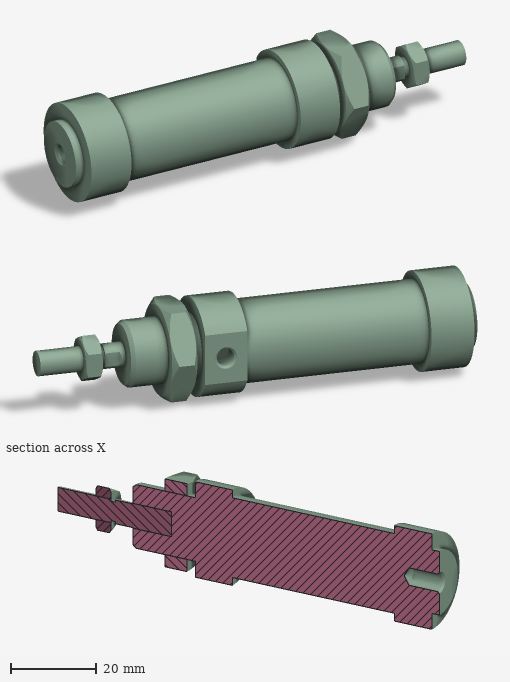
import cadquery as cq
import math

total_length = 106.0

rear_boss_length = 2.0
cap_length = 10.6
collar_start = 57.5
collar_end = 67.8
nose_end = 85.1

cap_dia = 24.0
tube_dia = 20.0
boss_dia = 16.0
nose_tip_dia = 14.5
nose_chamfer_length = 1.0

flat_offset = 10.3

hole_dia = 4.2
hole_mouth_dia = 5.3
drill_tip_angle = 118.0
rear_hole_depth = 8.5
port_depth = 4.8

rod_turn = -3.0
rod_dia = 6.0
rod_neck_dia = 5.0
rod_neck_length = 1.2
rod_seat_depth = 10.6
wrench_flat_width = 5.0
wrench_flat_length = 3.5
wrench_flat_runout = 0.5

rod_nut_across_flats = 10.0
rod_nut_thickness = 4.2
rod_nut_start = 91.2
rod_nut_face_dia = 9.5
rod_nut_chamfer_length = 0.5

mount_nut_across_flats = 22.0
mount_nut_thickness = 6.3
mount_nut_start = 70.0
mount_nut_face_dia = 21.8
mount_nut_chamfer_length = 1.3


def revolve_about_y(profile):
    """Solid of revolution about Y from a list of (radius, y) points."""
    return cq.Workplane("XY").polyline(profile).close().revolve(360, (0, 0, 0), (0, 1, 0))


def rod_along_y(diameter, start, end):
    return revolve_about_y([(0, start), (diameter / 2, start), (diameter / 2, end), (0, end)])


def countersunk_hole(depth, tip_length=0.0):
    """Cutter for a blind hole entering at y = 0 toward +Y, flat-bottomed unless it has a conical tip."""
    radius = hole_dia / 2
    mouth_radius = hole_mouth_dia / 2
    countersink_depth = mouth_radius - radius
    profile = [
        (0, 0),
        (mouth_radius, 0),
        (radius, countersink_depth),
        (radius, depth),
        (0, depth + tip_length),
    ]
    return revolve_about_y(profile)


def make_housing():
    cap_end = rear_boss_length + cap_length
    body = revolve_about_y([
        (0, 0),
        (boss_dia / 2, 0),
        (boss_dia / 2, rear_boss_length),
        (cap_dia / 2, rear_boss_length),
        (cap_dia / 2, cap_end),
        (tube_dia / 2, cap_end),
        (tube_dia / 2, collar_start),
        (cap_dia / 2, collar_start),
        (cap_dia / 2, collar_end),
        (boss_dia / 2, collar_end),
        (boss_dia / 2, nose_end - nose_chamfer_length),
        (nose_tip_dia / 2, nose_end),
        (0, nose_end),
    ])

    collar_length = collar_end - collar_start
    flat_cutter = (
        cq.Workplane("XY")
        .box(cap_dia, collar_length, cap_dia, centered=(True, False, True))
        .translate((-flat_offset - cap_dia / 2, collar_start, 0))
    )
    body = body.cut(flat_cutter)

    port_y = (collar_start + collar_end) / 2
    port = (
        countersunk_hole(port_depth)
        .rotate((0, 0, 0), (0, 0, 1), -90)
        .translate((-flat_offset, port_y, 0))
    )
    body = body.cut(port)

    tip_length = hole_dia / 2 / math.tan(math.radians(drill_tip_angle / 2))
    body = body.cut(countersunk_hole(rear_hole_depth, tip_length))

    return body.cut(rod_along_y(rod_dia, nose_end - rod_seat_depth, nose_end))


def make_piston_rod():
    neck_start = rod_nut_start - rod_neck_length
    rod = revolve_about_y([
        (0, nose_end - rod_seat_depth),
        (rod_dia / 2, nose_end - rod_seat_depth),
        (rod_dia / 2, neck_start),
        (rod_neck_dia / 2, neck_start),
        (rod_neck_dia / 2, rod_nut_start),
        (rod_dia / 2, rod_nut_start),
        (rod_dia / 2, total_length),
        (0, total_length),
    ])

    flat_x = wrench_flat_width / 2
    flat_end = neck_start - wrench_flat_length
    for side in (-1, 1):
        flat_cutter = (
            cq.Workplane("XY")
            .polyline([
                (side * flat_x, neck_start),
                (side * flat_x, flat_end),
                (side * rod_dia / 2, flat_end - wrench_flat_runout),
                (side * rod_dia / 2, neck_start),
            ])
            .close()
            .extrude(rod_dia / 2, both=True)
        )
        rod = rod.cut(flat_cutter)
    return rod.rotate((0, 0, 0), (0, 1, 0), rod_turn)


def make_hex_nut(across_flats, thickness, start, bore_dia, face_dia, chamfer_length, turn):
    """Hex nut around Y with conical corner chamfers; turn = 0 puts two corners on X."""
    corner_dia = across_flats / math.cos(math.pi / 6)
    end = start + thickness
    blank = (
        cq.Workplane("XZ", origin=(0, end, 0))
        .polygon(6, corner_dia)
        .extrude(thickness)
        .rotate((0, 0, 0), (0, 1, 0), turn)
    )
    chamfer_envelope = revolve_about_y([
        (0, start),
        (face_dia / 2, start),
        (corner_dia / 2, start + chamfer_length),
        (corner_dia / 2, end - chamfer_length),
        (face_dia / 2, end),
        (0, end),
    ])
    return blank.intersect(chamfer_envelope).cut(rod_along_y(bore_dia, start, end))


housing = make_housing()
piston_rod = make_piston_rod()
rod_nut = make_hex_nut(
    rod_nut_across_flats, rod_nut_thickness, rod_nut_start, rod_dia,
    rod_nut_face_dia, rod_nut_chamfer_length, turn=30 + rod_turn,
)
mount_nut = make_hex_nut(
    mount_nut_across_flats, mount_nut_thickness, mount_nut_start, boss_dia,
    mount_nut_face_dia, mount_nut_chamfer_length, turn=0,
)

result = cq.Compound.makeCompound([housing.val(), piston_rod.val(), rod_nut.val(), mount_nut.val()])